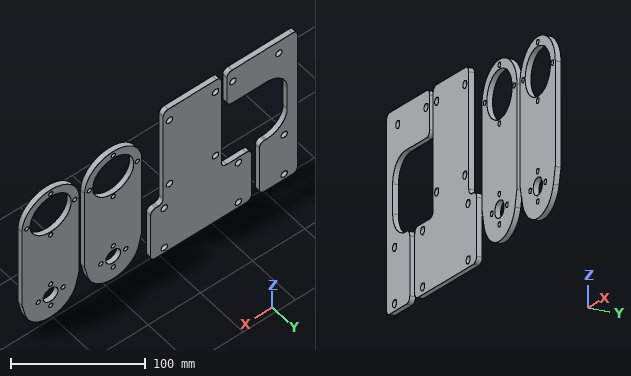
import cadquery as cq
import math

thickness = 5.0
plate_height = 158.0
total_length = 264.0
corner_radius = 5.0
screw_hole_diameter = 6.0
screw_pitch = 44.0
screw_pitch_long = 71.0
top_screw_z = 145.0
bottom_screw_z = 6.0
middle_screw_z = bottom_screw_z + screw_pitch

bracket_arm_length = 67.8
bracket_foot_length = 36.7
bracket_spine_width = 10.0
notch_bottom_z = 57.3
notch_top_z = 121.0
notch_radius = 20.0
bracket_arm_screw_x = 18.0
bracket_foot_screw_x = 13.0

base_left_x = 44.0
base_right_x = 141.0
stem_left_x = 72.9
stem_right_x = 128.8
shoulder_z = 56.2
stem_screw_x = 78.7
stem_lower_screw_z = top_screw_z - screw_pitch_long
base_screw_x = 56.8

link_width = 55.0
link_pitch = 60.0
link_count = 2
link_head_z = 121.2
link_tail_z = 31.2
tail_radius = 25.0
flank_start_z = 38.5
head_bore_diameter = 39.0
tail_bore_diameter = 14.0
link_hole_diameter = 4.0
head_hole_circle_radius = 23.0
tail_hole_circle_radius = 12.0
holes_per_circle = 4


def front_plane():
    """Workplane on the front faces, with local axes along X and Z."""
    return cq.Workplane("XZ")


def extrude_plate(outline):
    """Extrude a closed outline from the front faces toward +Y."""
    return outline.close().extrude(-thickness)


def drill(plate, points, diameter):
    """Cut through holes at the given (x, z) points."""
    return plate.cut(front_plane().pushPoints(points).circle(diameter / 2).extrude(-thickness))


def round_corners(plate, points, radius):
    """Fillet the through-thickness edges that stand at the given (x, z) points."""
    half_box = 0.3
    for x, z in points:
        corner = cq.selectors.BoxSelector(
            (x - half_box, -half_box, z - half_box),
            (x + half_box, thickness + half_box, z + half_box),
        )
        plate = plate.edges("|Y").edges(corner).fillet(radius)
    return plate


def make_bracket():
    outer_corners = [
        (0, 0),
        (0, plate_height),
        (bracket_arm_length, plate_height),
        (bracket_arm_length, notch_top_z),
        (bracket_foot_length, notch_bottom_z),
        (bracket_foot_length, 0),
    ]
    notch_corners = [
        (bracket_spine_width, notch_top_z),
        (bracket_spine_width, notch_bottom_z),
    ]
    outline = outer_corners[:4] + notch_corners + outer_corners[4:]
    plate = extrude_plate(front_plane().polyline(outline))
    plate = round_corners(plate, outer_corners, corner_radius)
    plate = round_corners(plate, notch_corners, notch_radius)
    screws = [
        (bracket_arm_screw_x, top_screw_z),
        (bracket_arm_screw_x + screw_pitch, top_screw_z),
        (bracket_foot_screw_x, middle_screw_z),
        (bracket_foot_screw_x, bottom_screw_z),
    ]
    return drill(plate, screws, screw_hole_diameter)


def make_tee_plate():
    base_corners = [
        (base_right_x, shoulder_z),
        (base_right_x, 0),
        (base_left_x, 0),
        (base_left_x, shoulder_z),
    ]
    stem_corners = [(stem_left_x, plate_height), (stem_right_x, plate_height)]
    left_shoulder = (stem_left_x, shoulder_z)
    right_shoulder = (stem_right_x, shoulder_z)
    outline = base_corners + [left_shoulder] + stem_corners + [right_shoulder]
    plate = extrude_plate(front_plane().polyline(outline))
    plate = round_corners(plate, base_corners + stem_corners, corner_radius)
    plate = round_corners(plate, [left_shoulder, right_shoulder], corner_radius)
    stem_screws = [
        (x, z)
        for x in (stem_screw_x, stem_screw_x + screw_pitch)
        for z in (top_screw_z, stem_lower_screw_z)
    ]
    base_screws = [
        (x, z)
        for x in (base_screw_x, base_screw_x + screw_pitch_long)
        for z in (middle_screw_z, bottom_screw_z)
    ]
    return drill(plate, stem_screws + base_screws, screw_hole_diameter)


def hole_circle(center_x, center_z, radius):
    """Points evenly spaced on a circle, the first one at +X."""
    angles = [2 * math.pi * i / holes_per_circle for i in range(holes_per_circle)]
    return [(center_x + radius * math.cos(a), center_z + radius * math.sin(a)) for a in angles]


def make_link(center_x):
    half_width = link_width / 2
    drop = flank_start_z - link_tail_z
    taper_angle = math.acos(tail_radius / math.hypot(half_width, drop)) - math.atan2(drop, half_width)
    join_x = tail_radius * math.cos(taper_angle)
    join_z = link_tail_z - tail_radius * math.sin(taper_angle)

    outline = (
        front_plane()
        .moveTo(center_x - half_width, flank_start_z)
        .lineTo(center_x - half_width, link_head_z)
        .threePointArc((center_x, link_head_z + half_width), (center_x + half_width, link_head_z))
        .lineTo(center_x + half_width, flank_start_z)
        .lineTo(center_x + join_x, join_z)
        .threePointArc((center_x, link_tail_z - tail_radius), (center_x - join_x, join_z))
    )
    link = extrude_plate(outline)
    link = drill(link, [(center_x, link_head_z)], head_bore_diameter)
    link = drill(link, [(center_x, link_tail_z)], tail_bore_diameter)
    small_holes = hole_circle(center_x, link_head_z, head_hole_circle_radius)
    small_holes += hole_circle(center_x, link_tail_z, tail_hole_circle_radius)
    return drill(link, small_holes, link_hole_diameter)


bracket = make_bracket()
tee_plate = make_tee_plate()

last_link_x = total_length - link_width / 2
links = [make_link(last_link_x - i * link_pitch) for i in range(link_count)]

result = cq.Compound.makeCompound(
    [bracket.val(), tee_plate.val(), *[link.val() for link in links]]
)